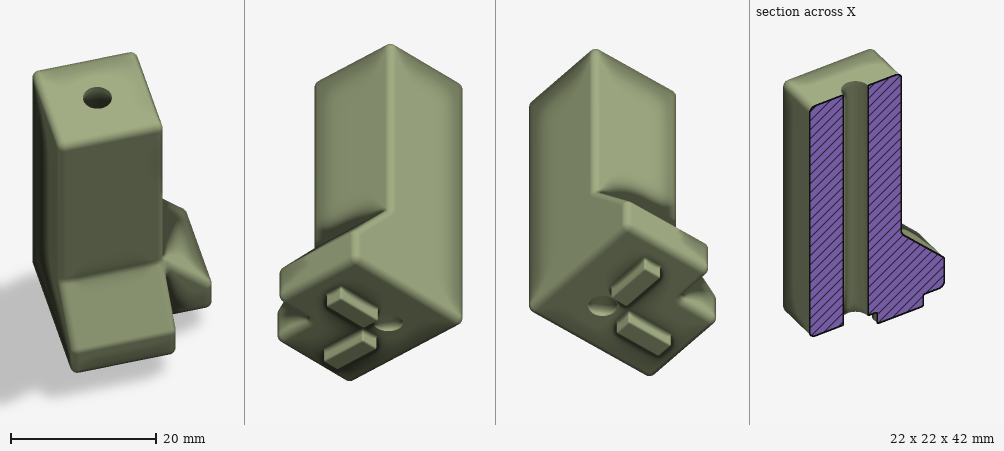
import cadquery as cq

total_height = 42.0
pad_height = 2.0
body_height = total_height - pad_height
post_side = 15.0
post_axis = post_side / 2
foot_span = 22.0
foot_reach = foot_span - post_side
foot_rise = 5.0
body_fillet = 1.0

bore_diameter = 4.0

pad_length = 7.5
pad_width = 2.85
pad_start = 11.0
pad_center = pad_start + pad_length / 2
pad_fillet = 0.25


def footed_slab(plane, extrusion):
    """Post profile with one foot whose top slopes at 45 degrees, as deep as the post."""
    profile = [
        (0, 0),
        (foot_span, 0),
        (foot_span, foot_rise),
        (post_side, foot_rise + foot_reach),
        (post_side, body_height),
        (0, body_height),
    ]
    return cq.Workplane(plane).polyline(profile).close().extrude(extrusion)


def add_pad(body, length_x, length_y, center_x, center_y):
    """Hang a pad from the base, rounded on all its edges and where it meets the base."""
    pad = (
        cq.Workplane("XY")
        .center(center_x, center_y)
        .rect(length_x, length_y)
        .extrude(-pad_height)
    )
    margin = 0.05
    pad_region = cq.selectors.BoxSelector(
        (center_x - length_x / 2 - margin, center_y - length_y / 2 - margin, -pad_height - margin),
        (center_x + length_x / 2 + margin, center_y + length_y / 2 + margin, margin),
    )
    return body.union(pad).edges(pad_region).fillet(pad_fillet)


body = footed_slab("XZ", -post_side).union(footed_slab("YZ", post_side)).clean()
body = body.edges().fillet(body_fillet)

body = add_pad(body, pad_length, pad_width, pad_center, post_axis)
body = add_pad(body, pad_width, pad_length, post_axis, pad_center)

bore = (
    cq.Workplane("XY")
    .center(post_axis, post_axis)
    .circle(bore_diameter / 2)
    .extrude(body_height)
)
result = body.cut(bore)